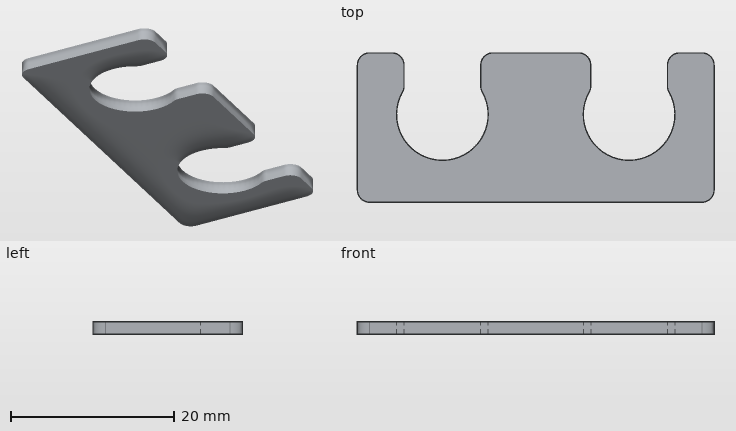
import cadquery as cq

length = 43.7
width = 18.3
thickness = 1.57
corner_radius = 1.55

notch_spacing = 22.85
hole_radius = 5.6
hole_from_back = 7.55
mouth_width = 9.35
throat_radius = 1.55

hole_y = width / 2 - hole_from_back
selection_margin = 0.45


def make_plate():
    """Rectangular plate with rounded outer corners."""
    plate = cq.Workplane("XY").box(length, width, thickness, centered=(True, True, False))
    return plate.edges("|Z").fillet(corner_radius)


def make_notch(center_x):
    """Round hole joined to a straight mouth, with the throat edges blended."""
    mouth_length = 2 * hole_from_back
    hole = cq.Workplane("XY").center(center_x, hole_y).circle(hole_radius).extrude(thickness)
    mouth = (
        cq.Workplane("XY")
        .center(center_x, hole_y + mouth_length / 2)
        .rect(mouth_width, mouth_length)
        .extrude(thickness)
    )
    throat_edges = cq.selectors.BoxSelector(
        (center_x - length / 4, hole_y + selection_margin, -selection_margin),
        (center_x + length / 4, width / 2, thickness + selection_margin),
    )
    return hole.union(mouth).edges("|Z").edges(throat_edges).fillet(throat_radius)


result = make_plate()
for side in (-1, 1):
    result = result.cut(make_notch(side * notch_spacing / 2))

mouth_corners = cq.selectors.BoxSelector(
    (-length / 2 + 2 * corner_radius, width / 2 - selection_margin, -selection_margin),
    (length / 2 - 2 * corner_radius, width / 2 + selection_margin, thickness + selection_margin),
)
result = result.edges("|Z").edges(mouth_corners).fillet(corner_radius)